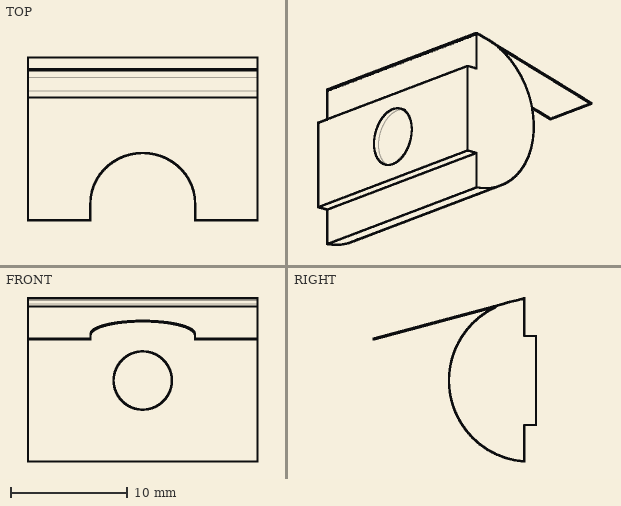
import cadquery as cq
import math

length = 19.8
body_radius = 7.0
back_face_y = -0.5
tongue_depth = 1.0
tongue_height = 7.7
hole_diameter = 5.0

plate_angle = 15.0
plate_thickness = 0.08
plate_reach = 13.03
plate_sink = 0.025
notch_width = 9.0
notch_depth = 6.0

slope = math.radians(plate_angle)
plate_top_z = (body_radius - plate_sink + back_face_y * math.sin(slope)) / math.cos(slope)
plate_tip_y = back_face_y - plate_reach
plate_tip_z = plate_top_z - plate_reach * math.tan(slope)


def make_body():
    """Round-fronted bar cut flat at the back."""
    half_height = math.sqrt(body_radius**2 - back_face_y**2)
    return (
        cq.Workplane("YZ")
        .moveTo(back_face_y, -half_height)
        .threePointArc((-body_radius, 0), (back_face_y, half_height))
        .close()
        .extrude(length / 2, both=True)
    )


def make_tongue():
    """Full-length rectangular rib on the back face."""
    return cq.Workplane("XY").box(length, tongue_depth, tongue_height).translate(
        (0, back_face_y + tongue_depth / 2, 0)
    )


def make_plate():
    """Sloping plate with a vertical back edge and a square-cut tip."""
    tip_bottom_y = plate_tip_y + plate_thickness * math.sin(slope)
    tip_bottom_z = plate_tip_z - plate_thickness * math.cos(slope)
    back_bottom_z = plate_top_z - plate_thickness / math.cos(slope)
    return (
        cq.Workplane("YZ")
        .moveTo(back_face_y, plate_top_z)
        .lineTo(plate_tip_y, plate_tip_z)
        .lineTo(tip_bottom_y, tip_bottom_z)
        .lineTo(back_face_y, back_bottom_z)
        .close()
        .extrude(length / 2, both=True)
    )


def make_notch():
    """Round-ended slot cutter, square to the plate and open at its tip."""
    half_width = notch_width / 2
    straight = notch_depth - half_width
    tip_plane = cq.Plane(
        origin=(0, plate_tip_y, plate_tip_z),
        xDir=(1, 0, 0),
        normal=(0, -math.sin(slope), math.cos(slope)),
    )
    return (
        cq.Workplane(tip_plane)
        .moveTo(-half_width, 0)
        .lineTo(-half_width, straight)
        .threePointArc((0, notch_depth), (half_width, straight))
        .lineTo(half_width, 0)
        .close()
        .extrude(2 * plate_thickness, both=True)
    )


def make_hole():
    """Cross hole running front to back through body and tongue."""
    return cq.Workplane("XZ").circle(hole_diameter / 2).extrude(2 * body_radius, both=True)


plate = make_plate().cut(make_notch())
result = make_body().union(make_tongue()).cut(make_hole()).union(plate)